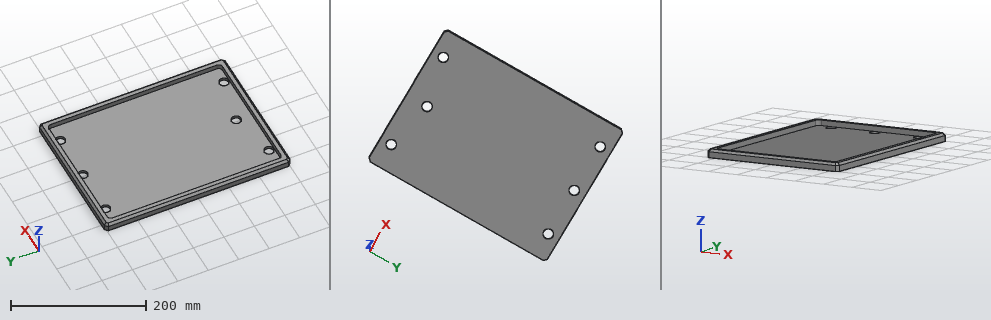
import cadquery as cq

width = 228.5
length = 304.8
height = 12.8
corner_chamfer = 4.5
rim_chamfer = 3.7

wall = 10.0
floor_thickness = 4.5
recess_radius = 6.0

hole_diameter = 15.2
column_spacing = 76.2
row_offset = 134.0
inner_hole_offset = 117.5


def make_body():
    """Plate with chamfered upright corners and a chamfered top rim."""
    plate = cq.Workplane("XY").box(width, length, height, centered=(True, True, False))
    plate = plate.edges("|Z").chamfer(corner_chamfer)
    return plate.faces(">Z").edges().chamfer(rim_chamfer)


def make_recess():
    """Round-cornered pocket volume above the floor."""
    depth = height - floor_thickness
    return (
        cq.Workplane("XY", origin=(0, 0, floor_thickness))
        .rect(width - 2 * wall, length - 2 * wall)
        .extrude(depth)
        .edges("|Z")
        .fillet(recess_radius)
    )


def make_holes():
    """Three holes along the back; the middle front hole is set further in."""
    back_row = [(column * column_spacing, row_offset) for column in (-1, 0, 1)]
    front_corners = [(side * column_spacing, -row_offset) for side in (-1, 1)]
    front_middle = [(0, -inner_hole_offset)]
    return (
        cq.Workplane("XY")
        .pushPoints(back_row + front_corners + front_middle)
        .circle(hole_diameter / 2)
        .extrude(height)
    )


result = make_body().cut(make_recess()).cut(make_holes())